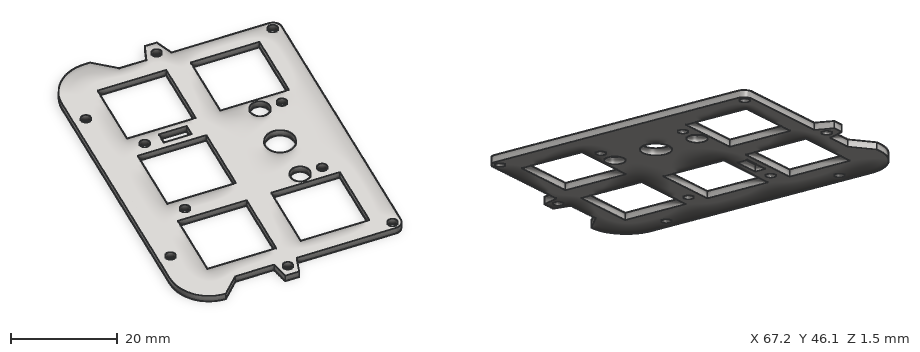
import cadquery as cq
import math

length = 67.15
width = 46.1
thickness = 1.5
body_length = 60.0
top_corner_radius = 1.8
bottom_corner_radius = 8.05

half_length = length / 2
half_width = width / 2
half_body = body_length / 2

left_tab_root_top = 1.3
left_tab_tip_top = -0.2
left_tab_tip_bottom = -2.6
left_tab_root_bottom = -3.8
right_tab_root_top = 1.0
right_tab_tip_top = 0.0
right_tab_tip_bottom = -2.9
right_tab_root_bottom = -3.6

left_shoulder_top = -9.4
left_shoulder_bottom = -13.8
right_shoulder_top = -11.55
right_shoulder_bottom = -half_width + bottom_corner_radius

key_pitch = 19.1
key_size = 14.05
upper_row_y = 10.55
lower_row_y = upper_row_y - key_pitch

screw_diameter = 2.0
medium_diameter = 4.0
centre_diameter = 6.05
inner_hole_x = key_pitch / 2
upper_inner_y = 15.05
lower_inner_y = -13.0
top_screw_x = 28.4
top_screw_y = 21.3
left_tab_screw_x = -31.0
right_tab_screw_x = 31.3
tab_screw_y = -1.35
left_bottom_screw_x = -20.0
right_bottom_screw_x = 20.15
bottom_screw_y = -20.55

slot_length = 2.35
slot_width = 5.7
slot_y = -6.8


def make_plate():
    """Extrude the outline, drawn clockwise from the top left corner."""
    top_arc_offset = top_corner_radius * (1 - math.sqrt(0.5))
    bottom_arc_offset = bottom_corner_radius * (1 - math.sqrt(0.5))
    bottom_arc_y = -half_width + bottom_corner_radius
    bottom_arc_x = half_length - bottom_corner_radius
    return (
        cq.Workplane("XY")
        .moveTo(-half_body + top_corner_radius, half_width)
        .lineTo(half_body - top_corner_radius, half_width)
        .threePointArc(
            (half_body - top_arc_offset, half_width - top_arc_offset),
            (half_body, half_width - top_corner_radius),
        )
        .lineTo(half_body, right_tab_root_top)
        .lineTo(half_length, right_tab_tip_top)
        .lineTo(half_length, right_tab_tip_bottom)
        .lineTo(half_body, right_tab_root_bottom)
        .lineTo(half_body, right_shoulder_top)
        .lineTo(half_length, right_shoulder_bottom)
        .threePointArc(
            (half_length - bottom_arc_offset, -half_width + bottom_arc_offset),
            (bottom_arc_x, -half_width),
        )
        .lineTo(-bottom_arc_x, -half_width)
        .threePointArc(
            (-half_length + bottom_arc_offset, -half_width + bottom_arc_offset),
            (-half_length, bottom_arc_y),
        )
        .lineTo(-half_length, left_shoulder_bottom)
        .lineTo(-half_body, left_shoulder_top)
        .lineTo(-half_body, left_tab_root_bottom)
        .lineTo(-half_length, left_tab_tip_bottom)
        .lineTo(-half_length, left_tab_tip_top)
        .lineTo(-half_body, left_tab_root_top)
        .lineTo(-half_body, half_width - top_corner_radius)
        .threePointArc(
            (-half_body + top_arc_offset, half_width - top_arc_offset),
            (-half_body + top_corner_radius, half_width),
        )
        .close()
        .extrude(thickness)
    )


def rectangular_cutters(centres, size_x, size_y):
    return cq.Workplane("XY").pushPoints(centres).rect(size_x, size_y).extrude(thickness)


def round_cutters(centres, diameter):
    return cq.Workplane("XY").pushPoints(centres).circle(diameter / 2).extrude(thickness)


key_centres = [
    (-key_pitch, upper_row_y),
    (key_pitch, upper_row_y),
    (-key_pitch, lower_row_y),
    (0, lower_row_y),
    (key_pitch, lower_row_y),
]

screw_centres = [
    (left_tab_screw_x, tab_screw_y),
    (right_tab_screw_x, tab_screw_y),
    (left_bottom_screw_x, bottom_screw_y),
    (right_bottom_screw_x, bottom_screw_y),
]
for side in (-1, 1):
    screw_centres += [
        (side * top_screw_x, top_screw_y),
        (side * inner_hole_x, upper_inner_y),
        (side * inner_hole_x, lower_inner_y),
    ]

medium_centres = [(-inner_hole_x, upper_row_y), (inner_hole_x, upper_row_y)]

result = (
    make_plate()
    .cut(rectangular_cutters(key_centres, key_size, key_size))
    .cut(rectangular_cutters([(-inner_hole_x, slot_y)], slot_length, slot_width))
    .cut(round_cutters(screw_centres, screw_diameter))
    .cut(round_cutters(medium_centres, medium_diameter))
    .cut(round_cutters([(0, upper_row_y)], centre_diameter))
)